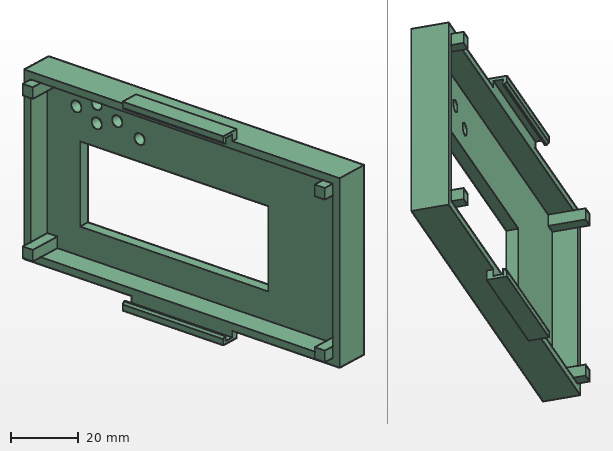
import cadquery as cq

length = 119.38
overall_depth = 15.91
overall_height = 68.58

body_height = 62.23
body_depth = 11.68
wall = 2.54
face_thickness = 3.81

post_size = 3.81
post_protrusion = 3.81

clip_length = 38.1
clip_root_depth = 2.16
clip_skin = 1.02
lip_thickness = 1.27
lip_height = 2.79
lip_chamfer = 0.76

window_length = 71.12
window_height = 27.94
window_left = 14.9
window_top = 22.1

hole_diameter = 3.81
button_holes = [
    (13.49, 11.05),
    (21.2, 8.0),
    (21.2, 14.3),
    (28.95, 11.3),
    (37.4, 14.6),
]

left = -length / 2
top = body_height / 2
inner_length = length - 2 * wall
inner_height = body_height - 2 * wall
floor_y = body_depth - face_thickness
clip_tip_y = body_depth - overall_depth
clip_top = overall_height / 2


def block(size_x, y_start, y_end, size_z, center_x=0, center_z=0):
    """Box between two Y positions, centred at a point in X and Z."""
    size_y = y_end - y_start
    return cq.Workplane("XY").box(size_x, size_y, size_z).translate(
        (center_x, (y_start + y_end) / 2, center_z)
    )


def make_tray():
    outer = block(length, 0, body_depth, body_height)
    pocket = block(inner_length, 0, floor_y, inner_height)
    return outer.cut(pocket)


def make_window():
    center_x = left + window_left + window_length / 2
    center_z = top - window_top - window_height / 2
    return block(window_length, floor_y, body_depth, window_height, center_x, center_z)


def make_button_hole(from_left, from_top):
    return (
        cq.Workplane("XZ", origin=(left + from_left, floor_y, top - from_top))
        .circle(hole_diameter / 2)
        .extrude(-face_thickness)
    )


def make_post(side_x, side_z):
    center_x = side_x * (inner_length - post_size) / 2
    center_z = side_z * (inner_height - post_size) / 2
    return block(post_size, -post_protrusion, floor_y, post_size, center_x, center_z)


def make_top_clip():
    lip_end_z = clip_top - lip_height
    lip_inner_y = clip_tip_y + lip_thickness
    profile = [
        (clip_root_depth, top),
        (clip_root_depth, clip_top),
        (clip_tip_y, clip_top),
        (clip_tip_y, lip_end_z + lip_chamfer),
        (clip_tip_y + lip_chamfer, lip_end_z),
        (lip_inner_y, lip_end_z),
        (lip_inner_y, clip_top - clip_skin),
        (0, clip_top - clip_skin),
        (0, top),
    ]
    return (
        cq.Workplane("YZ", origin=(-clip_length / 2, 0, 0))
        .polyline(profile)
        .close()
        .extrude(clip_length)
    )


result = make_tray().cut(make_window())
for from_left, from_top in button_holes:
    result = result.cut(make_button_hole(from_left, from_top))

for side_x in (-1, 1):
    for side_z in (-1, 1):
        result = result.union(make_post(side_x, side_z))

top_clip = make_top_clip()
result = result.union(top_clip).union(top_clip.mirror("XY"))